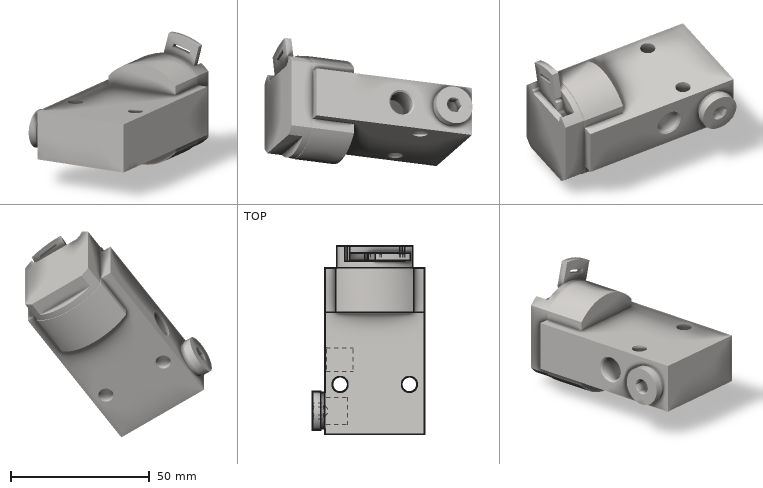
import cadquery as cq
import math

block_width = 36.0
block_length = 44.0
block_height = 18.0
mount_hole_diameter = 5.5
mount_hole_spacing = 25.0
mount_hole_y = 18.0
port_y = 27.0
port_diameter = 8.57
port_mouth_diameter = 9.73
port_depth = 10.0

plug_y = 8.5
plug_head_diameter = 14.0
plug_head_length = 3.0
plug_neck_diameter = 13.2
plug_neck_length = 1.5
plug_shank_diameter = 9.73
plug_shank_length = 8.0
socket_width = 5.0
socket_depth = 4.0
socket_cone_depth = 2.0

coil_radius = 18.75
coil_width = 28.0
coil_length = 16.0

cap_inset = 0.25
cap_length = 8.0
cap_flange_length = 2.5
cap_rear_height = 30.0
notch_floor_z = 12.0
notch_floor_width = 18.2
notch_lip_radius = 0.9

terminal_gap = 0.25
terminal_thickness = 2.5
terminal_disc_radius = 11.95
tab_radius = 26.0
tab_width = 13.0
tab_tilt = 15.0
tab_relief_radius = 0.85
tab_relief_z = 14.45
tab_slot_width = 7.2
tab_slot_height = 1.6
tab_slot_bottom = 20.6

block_left = -block_width / 2
socket_corner_diameter = socket_width / math.cos(math.pi / 6)
coil_front = block_length
coil_rear = coil_front + coil_length
cap_rear = coil_rear + cap_length
flange_rear = coil_rear + cap_flange_length
terminal_front = flange_rear + terminal_gap
terminal_rear = terminal_front + terminal_thickness
cap_radius = coil_radius - cap_inset
cap_width = coil_width - 2 * cap_inset


def box(width, height, y_front, y_rear):
    """Box centred on the Y axis from y_front to y_rear."""
    length = y_rear - y_front
    return cq.Workplane("XY").box(width, length, height).translate((0, (y_front + y_rear) / 2, 0))


def disc(radius, y_front, y_rear):
    """Round disc about the Y axis from y_front to y_rear."""
    return cq.Workplane("XZ", origin=(0, y_front, 0)).circle(radius).extrude(y_front - y_rear)


def flatted_disc(radius, width, y_front, y_rear):
    """Round disc with two flats facing -X and +X."""
    return disc(radius, y_front, y_rear).intersect(box(width, 2 * radius, y_front, y_rear))


def round_along_x(diameter, x_start, x_end, y):
    """Cylinder along X at height zero."""
    return cq.Workplane("YZ", origin=(x_start, y, 0)).circle(diameter / 2).extrude(x_end - x_start)


def cone_along_x(start_diameter, end_diameter, x_start, length, y):
    """Cone along +X that narrows from start_diameter to end_diameter."""
    return cq.Workplane(
        cq.Solid.makeCone(
            start_diameter / 2, end_diameter / 2, length, cq.Vector(x_start, y, 0), cq.Vector(1, 0, 0)
        )
    )


def make_block():
    block = box(block_width, block_height, 0, block_length)
    for x in (-mount_hole_spacing / 2, mount_hole_spacing / 2):
        hole = cq.Workplane("XY").center(x, mount_hole_y).circle(mount_hole_diameter / 2)
        block = block.cut(hole.extrude(block_height, both=True))
    mouth_depth = (port_mouth_diameter - port_diameter) / 2
    block = block.cut(round_along_x(port_diameter, block_left, block_left + port_depth, port_y))
    block = block.cut(cone_along_x(port_mouth_diameter, port_diameter, block_left, mouth_depth, port_y))
    return block.cut(round_along_x(plug_shank_diameter, block_left, block_left + plug_shank_length, plug_y))


def make_plug():
    neck_left = block_left - plug_neck_length
    head_left = neck_left - plug_head_length
    plug = round_along_x(plug_head_diameter, head_left, neck_left, plug_y)
    plug = plug.union(round_along_x(plug_neck_diameter, neck_left, block_left, plug_y))
    plug = plug.union(round_along_x(plug_shank_diameter, block_left, block_left + plug_shank_length, plug_y))

    hexagon = cq.Workplane("YZ", origin=(head_left, plug_y, 0)).polygon(6, socket_corner_diameter)
    plug = plug.cut(hexagon.extrude(socket_depth))
    mouth_depth = (socket_corner_diameter - socket_width) / 2
    plug = plug.cut(cone_along_x(socket_corner_diameter, socket_width, head_left, mouth_depth, plug_y))
    return plug.cut(cone_along_x(socket_width, 0, head_left + socket_depth, socket_cone_depth, plug_y))


def make_cap():
    flange = flatted_disc(cap_radius, cap_width, coil_rear, flange_rear)
    rear = flatted_disc(cap_radius, cap_width, flange_rear, cap_rear)
    rear = rear.intersect(box(cap_width, cap_rear_height, flange_rear, cap_rear))
    top = cap_rear_height / 2
    top_half_width = math.sqrt(cap_radius**2 - top**2)
    floor_half_width = notch_floor_width / 2
    lip_outer_x = floor_half_width + notch_lip_radius
    lip_top_z = notch_floor_z + notch_lip_radius
    notch = (
        cq.Workplane("XZ", origin=(0, flange_rear, 0))
        .moveTo(-floor_half_width, notch_floor_z)
        .lineTo(floor_half_width, notch_floor_z)
        .radiusArc((lip_outer_x, lip_top_z), notch_lip_radius)
        .lineTo(top_half_width, top)
        .lineTo(-top_half_width, top)
        .lineTo(-lip_outer_x, lip_top_z)
        .radiusArc((-floor_half_width, notch_floor_z), notch_lip_radius)
        .close()
        .extrude(flange_rear - cap_rear)
    )

    slot_bottom = math.sqrt(terminal_disc_radius**2 - floor_half_width**2)
    slot_height = notch_floor_z - slot_bottom
    slot = box(notch_floor_width, slot_height, flange_rear, terminal_rear + terminal_gap)
    slot = slot.translate((0, 0, slot_bottom + slot_height / 2))
    return flange.union(rear.cut(notch).cut(slot))


def make_terminal():
    plane = cq.Workplane("XZ", origin=(0, terminal_front, 0))
    half_width = tab_width / 2
    top_corner_z = math.sqrt(tab_radius**2 - half_width**2)
    tab = (
        plane.moveTo(-half_width, 0)
        .lineTo(-half_width, top_corner_z)
        .threePointArc((0, tab_radius), (half_width, top_corner_z))
        .lineTo(half_width, 0)
        .close()
        .extrude(-terminal_thickness)
    )
    reliefs = plane.pushPoints([(-half_width, tab_relief_z), (half_width, tab_relief_z)])
    tab = tab.cut(reliefs.circle(tab_relief_radius).extrude(-terminal_thickness))
    slot_middle = tab_slot_bottom + tab_slot_height / 2
    slot = plane.center(0, slot_middle).rect(tab_slot_width, tab_slot_height).extrude(-terminal_thickness)
    tab = tab.cut(slot).rotate((0, 0, 0), (0, 1, 0), tab_tilt)
    return tab.union(disc(terminal_disc_radius, terminal_front, terminal_rear))


def make_solenoid():
    coil = flatted_disc(coil_radius, coil_width, coil_front, coil_rear)
    ears = box(block_width, block_height, coil_front, coil_rear)
    return coil.union(ears).union(make_cap()).union(make_terminal())


block = make_block()
plug = make_plug()
solenoid = make_solenoid()

result = cq.Compound.makeCompound([block.val(), plug.val(), solenoid.val()])